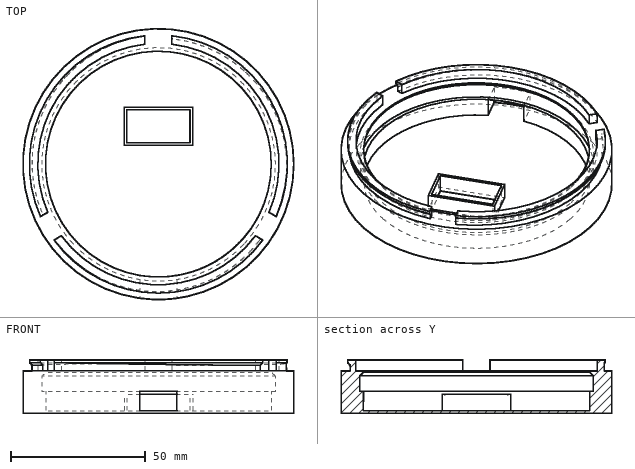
import cadquery as cq
import math

body_diameter = 100.4
body_height = 15.8
floor_thickness = 1.0
bore_diameter = 83.6

undercut_diameter = 86.5
ledge_z = 8.2
cone_start_z = 13.9
lip_height = 0.5

total_height = 19.8
ring_inner_radius = 44.7
head_radius = 47.8
head_height = 1.0
stem_radius = 47.5
stem_offset = 0.7
ring_gap = 10.0
segment_count = 3

window_length = 23.4
window_width = 12.1
window_center_y = 14.1
frame_wall = 1.0
frame_top_z = 7.0

port_width = 13.8
port_top_z = 8.1
port_run_in = 1.0


def make_body():
    bore_radius = bore_diameter / 2
    undercut_radius = undercut_diameter / 2
    half_section = [
        (0, 0),
        (body_diameter / 2, 0),
        (body_diameter / 2, body_height),
        (bore_radius, body_height),
        (bore_radius, body_height - lip_height),
        (undercut_radius, cone_start_z),
        (undercut_radius, ledge_z),
        (bore_radius, ledge_z),
        (bore_radius, floor_thickness),
        (0, floor_thickness),
    ]
    return cq.Workplane("XZ").polyline(half_section).close().revolve(360, (0, 0), (0, 1))


def polar_point(radius, angle):
    return radius * math.cos(math.radians(angle)), radius * math.sin(math.radians(angle))


def make_bayonet_segment():
    ring_height = total_height - body_height
    segment_angle = 360 / segment_count
    start_angle = 90
    end_angle = start_angle + segment_angle
    rim = cq.Workplane("XY").workplane(offset=body_height)

    stem_center = polar_point(-stem_offset, end_angle)
    stem = rim.center(*stem_center).circle(stem_radius).extrude(ring_height)

    cone_height = ring_height - head_height
    head_section = [
        (0, body_height),
        (head_radius - cone_height, body_height),
        (head_radius, total_height - head_height),
        (head_radius, total_height),
        (0, total_height),
    ]
    head = cq.Workplane("XZ").polyline(head_section).close().revolve(360, (0, 0), (0, 1))

    sector_points = [(0, 0), polar_point(body_diameter, start_angle), polar_point(body_diameter, end_angle)]
    sector = rim.polyline(sector_points).close().extrude(ring_height)
    segment = stem.union(head).intersect(sector)
    segment = segment.cut(rim.circle(ring_inner_radius).extrude(ring_height))

    gap = rim.center(body_diameter / 4, 0).rect(body_diameter / 2, ring_gap).extrude(ring_height)
    for angle in (start_angle, end_angle):
        segment = segment.cut(gap.rotate((0, 0, 0), (0, 0, 1), angle))
    return segment


def window_block(length, width, height):
    return cq.Workplane("XY").center(0, window_center_y).rect(length, width).extrude(height)


def make_port():
    port_depth = body_diameter - bore_diameter + 2 * port_run_in
    port = cq.Workplane("XY").workplane(offset=floor_thickness).center(0, -body_diameter / 2)
    return port.rect(port_width, port_depth).extrude(port_top_z - floor_thickness)


frame = window_block(window_length + 2 * frame_wall, window_width + 2 * frame_wall, frame_top_z)
window = window_block(window_length, window_width, frame_top_z)

result = make_body().union(frame).cut(window).cut(make_port())
bayonet_segment = make_bayonet_segment()
for index in range(segment_count):
    result = result.union(bayonet_segment.rotate((0, 0, 0), (0, 0, 1), index * 360 / segment_count))